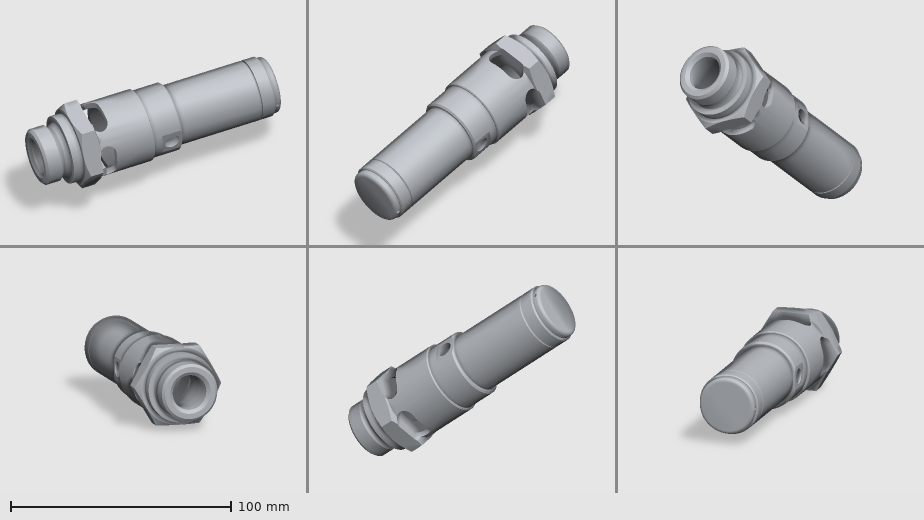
import cadquery as cq
import math


total_length = 116.0

thread_radius = 13.2
thread_chamfer = 1.2
thread_end = 7.5
groove_cone_end = 8.6
groove_bottom = 9.3
groove_flare_start = 10.0
groove_edge_radius = 12.2
groove_bottom_radius = 11.8
flare_middle = 11.4
flare_middle_radius = 12.6
flange_radius = 16.0
flange_start = 12.2
hex_sides = 6
hex_across_flats = 36.0
hex_start = 16.9
hex_front_angle = 30.0
hex_back_corner = 24.6
sleeve_start = 26.0
sleeve_radius = 17.0
sleeve_end = 52.0
sleeve_chamfer = 0.5

inlet_bore_radius = 8.0
mouth_radius = 9.6
mouth_depth = 1.4
outlet_bore_radius = 14.3
slot_length = 18.6
slot_width = 8.2
slot_center = 28.9
slot_count = 4

collar_radius = 16.0
collar_end = 66.0
collar_chamfer = 0.8
tube_radius = 14.2
tube_end = 106.3
tube_chamfer = 0.8
bonnet_start = 41.1
bonnet_bore_radius = 12.1
skirt_bore_radius = 13.1
skirt_shoulder = 56.6
flat_offset = 15.1
flat_start = 56.0
vent_radius = 3.6
vent_center = 60.9

ring_chamfer = 0.6
cap_shoulder = 112.6
cap_nose_radius = 13.2
cap_nose_fillet = 1.6
seal_hole_radius = 0.9
seal_hole_center = 113.9
seal_hole_depth = 2.3

disc_thickness = 4.6
disc_recess_radius = 3.5
disc_recess_depth = 1.2
disc_web_width = 5.1
disc_web_height = 0.6

hex_corner_radius = hex_across_flats / 2 / math.cos(math.pi / hex_sides)
hex_front_rise = (hex_corner_radius - hex_across_flats / 2) * math.tan(math.radians(hex_front_angle))
disc_start = skirt_shoulder - disc_thickness
outlet_bore_start = slot_center - slot_width / 2
cap_start = tube_end


def revolved(profile):
    """Turn a closed (radius, y) profile about the Y axis."""
    return profile.close().revolve(360, (0, 0, 0), (0, 1, 0))


def y_cylinder(radius, start, end):
    """Round bar along the Y axis between two stations."""
    return cq.Workplane("XZ", origin=(0, start, 0)).circle(radius).extrude(start - end)


def x_cylinder(radius, y, start, end):
    """Round bar parallel to X, crossing the axis at station y."""
    return cq.Workplane("YZ", origin=(start, y, 0)).circle(radius).extrude(end - start)


def make_threaded_inlet():
    """Solid thread blank, its relief groove and the flange behind it."""
    return revolved(
        cq.Workplane("XY")
        .moveTo(0, 0)
        .lineTo(thread_radius - thread_chamfer, 0)
        .lineTo(thread_radius, thread_chamfer)
        .lineTo(thread_radius, thread_end)
        .lineTo(groove_edge_radius, groove_cone_end)
        .tangentArcPoint((groove_bottom_radius, groove_bottom), relative=False)
        .lineTo(groove_edge_radius, groove_flare_start)
        .threePointArc((flare_middle_radius, flare_middle), (thread_radius, flange_start))
        .lineTo(flange_radius, flange_start)
        .lineTo(flange_radius, hex_start)
        .lineTo(0, hex_start)
    )


def make_hexagon():
    """Hexagon with corners on +X and -X, its corners turned off by a cone at each end."""
    prism = (
        cq.Workplane("XZ", origin=(0, hex_start, 0))
        .polygon(hex_sides, 2 * hex_corner_radius)
        .extrude(hex_start - sleeve_start)
    )
    turned_blank = revolved(
        cq.Workplane("XY")
        .moveTo(0, hex_start)
        .lineTo(hex_across_flats / 2, hex_start)
        .lineTo(hex_corner_radius, hex_start + hex_front_rise)
        .lineTo(hex_corner_radius, hex_back_corner)
        .lineTo(sleeve_radius, sleeve_start)
        .lineTo(0, sleeve_start)
    )
    return prism.intersect(turned_blank)


def make_slot(angle):
    """Radial outlet slot, long across the axis, turned about Y from the +Z direction."""
    slot = (
        cq.Workplane("XY", origin=(0, slot_center, 0))
        .slot2D(slot_length, slot_width)
        .extrude(hex_across_flats)
    )
    return slot.rotate((0, 0, 0), (0, 1, 0), angle)


def make_inlet_body():
    """Inlet body with a stepped passage and the outlet slots through its sleeve."""
    sleeve = y_cylinder(sleeve_radius, sleeve_start, sleeve_end).faces(">Y").chamfer(sleeve_chamfer)
    body = make_threaded_inlet().union(make_hexagon()).union(sleeve)
    passage = revolved(
        cq.Workplane("XY")
        .moveTo(0, 0)
        .lineTo(mouth_radius, 0)
        .lineTo(inlet_bore_radius, mouth_depth)
        .lineTo(inlet_bore_radius, outlet_bore_start)
        .lineTo(outlet_bore_radius, outlet_bore_start)
        .lineTo(outlet_bore_radius, sleeve_end)
        .lineTo(0, sleeve_end)
    )
    body = body.cut(passage)
    for index in range(slot_count):
        body = body.cut(make_slot(index * 360 / slot_count))
    return body


def make_bonnet():
    """Bored bonnet with two flats on its collar and a vent hole drilled across through both."""
    skirt = y_cylinder(outlet_bore_radius, bonnet_start, sleeve_end)
    collar = y_cylinder(collar_radius, sleeve_end, collar_end).faces(">Y").chamfer(collar_chamfer)
    tube = y_cylinder(tube_radius, collar_end, tube_end).faces(">Y").chamfer(tube_chamfer)
    bonnet = skirt.union(collar).union(tube)
    bonnet = bonnet.cut(y_cylinder(skirt_bore_radius, bonnet_start, skirt_shoulder))
    bonnet = bonnet.cut(y_cylinder(bonnet_bore_radius, skirt_shoulder, tube_end))
    for side in (-1, 1):
        flat_depth = collar_radius - flat_offset
        flat_length = collar_end - flat_start
        flat_cutter = cq.Workplane("XY").box(flat_depth, flat_length, 2 * collar_radius).translate(
            (side * (flat_offset + flat_depth / 2), flat_start + flat_length / 2, 0)
        )
        bonnet = bonnet.cut(flat_cutter)
    return bonnet.cut(x_cylinder(vent_radius, vent_center, -collar_radius, collar_radius))


def make_cap():
    """Cap closing the tube: a ring of tube diameter and a rounded nose with two blind seal holes."""
    ring = y_cylinder(tube_radius, cap_start, cap_shoulder).faces(">Y").chamfer(ring_chamfer)
    nose = y_cylinder(cap_nose_radius, cap_shoulder, total_length).faces(">Y").fillet(cap_nose_fillet)
    cap = ring.union(nose)
    for side in (-1, 1):
        hole_floor = side * (cap_nose_radius - seal_hole_depth)
        cap = cap.cut(x_cylinder(seal_hole_radius, seal_hole_center, hole_floor, side * cap_nose_radius))
    return cap


def make_disc():
    """Valve disc resting on the skirt shoulder, with a round recess crossed by a low flat-sided web."""
    disc = y_cylinder(skirt_bore_radius, disc_start, skirt_shoulder)
    recess_floor = disc_start + disc_recess_depth
    disc = disc.cut(y_cylinder(disc_recess_radius, disc_start, recess_floor))
    web_bar = (
        cq.Workplane("XZ", origin=(0, recess_floor - disc_web_height, 0))
        .rect(disc_web_width, 2 * disc_recess_radius)
        .extrude(-disc_web_height)
    )
    web = web_bar.intersect(y_cylinder(disc_recess_radius, disc_start, recess_floor))
    return disc.union(web)


inlet_body = make_inlet_body()
bonnet = make_bonnet()
cap = make_cap()
disc = make_disc()

result = cq.Compound.makeCompound([inlet_body.val(), bonnet.val(), cap.val(), disc.val()])